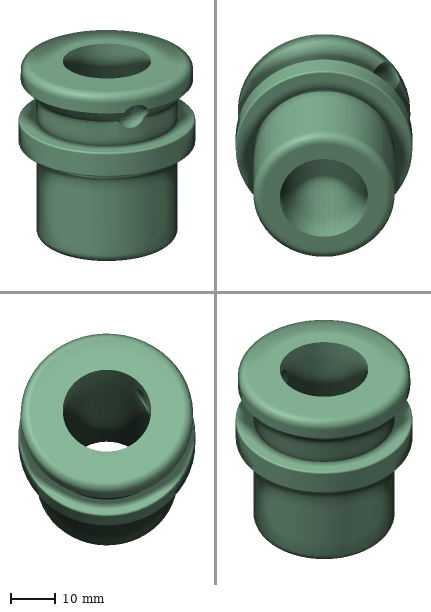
import cadquery as cq

height = 43.0
bore_diameter = 20.0
body_diameter = 32.0
flange_diameter = 40.0
head_diameter = 39.0

groove_bottom = 21.0
flange_bottom = 23.0
flange_thickness = 5.98
head_bottom = 38.5

end_round = 2.0
flange_round = 0.45
groove_depth = 0.7

cross_hole_diameter = 7.0
cross_hole_height = 36.55

body_radius = body_diameter / 2
head_radius = head_diameter / 2
flange_top = flange_bottom + flange_thickness
cone_height = head_radius - body_radius


def disc(diameter, bottom, top):
    """Cylinder on the Z axis between two heights."""
    return cq.Workplane("XY").workplane(offset=bottom).circle(diameter / 2).extrude(top - bottom)


def make_body():
    """Spigot with a rounded lower end and a chamfered shoulder at the groove."""
    spigot = disc(body_diameter, 0, groove_bottom + groove_depth)
    spigot = spigot.faces("<Z").edges().fillet(end_round)
    spigot = spigot.faces(">Z").edges().chamfer(groove_depth)
    groove_core = disc(body_diameter - 2 * groove_depth, groove_bottom, flange_bottom)
    neck = disc(body_diameter, flange_top, head_bottom)
    return spigot.union(groove_core).union(neck)


def make_flange():
    """Collar with lightly rounded rims."""
    return disc(flange_diameter, flange_bottom, flange_top).edges("%CIRCLE").fillet(flange_round)


def make_head():
    """Head with a conical underside and a rounded top rim."""
    rim = disc(head_diameter, head_bottom, height).faces(">Z").edges().fillet(end_round)
    cone = cq.Solid.makeCone(
        body_radius, head_radius, cone_height, pnt=cq.Vector(0, 0, head_bottom - cone_height)
    )
    return rim.union(cq.Workplane(obj=cone))


def make_cross_hole():
    """Radial cutter from the axis out through the +X side."""
    hole = cq.Workplane("YZ").center(0, cross_hole_height).circle(cross_hole_diameter / 2)
    return hole.extrude(flange_diameter / 2)


bore = disc(bore_diameter, 0, height)
result = make_body().union(make_flange()).union(make_head()).cut(bore).cut(make_cross_hole())